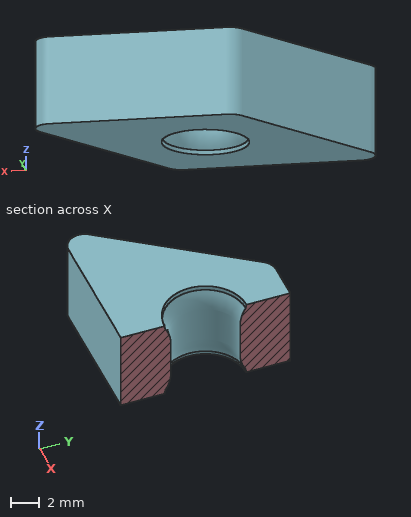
import cadquery as cq
import math

length = 22.18
width = 12.7
thickness = 6.35
acute_angle = math.radians(55)

hole_diameter = 5.17
mouth_diameter = 6.1
rim_diameter = 6.0
rim_depth = 0.3
throat_depth = 1.75

side = width / math.sin(acute_angle)
slant = width / math.tan(acute_angle)

sharp_length = side + slant
tip_loss_per_radius = 1 / math.tan(acute_angle / 2) - 1
corner_radius = (sharp_length - length) / 2 / tip_loss_per_radius


def make_body():
    corners = [
        (-sharp_length / 2, -width / 2),
        (sharp_length / 2 - slant, -width / 2),
        (sharp_length / 2, width / 2),
        (-sharp_length / 2 + slant, width / 2),
    ]
    body = cq.Workplane("XY").polyline(corners).close().extrude(thickness / 2, both=True)
    return body.edges("|Z").fillet(corner_radius)


def make_hole():
    """Revolved cutter: tapered rims, convex rounded transitions and a straight throat."""
    mouth_radius = mouth_diameter / 2
    rim_radius = rim_diameter / 2
    throat_radius = hole_diameter / 2
    top = thickness / 2
    rim = top - rim_depth
    throat = top - throat_depth

    step = rim_radius - throat_radius
    drop = rim - throat
    arc_radius = (step**2 + drop**2) / (2 * step)
    half_sweep = math.asin(drop / arc_radius) / 2
    middle_radius = throat_radius + arc_radius * (1 - math.cos(half_sweep))
    middle_height = throat + arc_radius * math.sin(half_sweep)

    return (
        cq.Workplane("XZ")
        .moveTo(0, -top)
        .lineTo(mouth_radius, -top)
        .lineTo(rim_radius, -rim)
        .threePointArc((middle_radius, -middle_height), (throat_radius, -throat))
        .lineTo(throat_radius, throat)
        .threePointArc((middle_radius, middle_height), (rim_radius, rim))
        .lineTo(mouth_radius, top)
        .lineTo(0, top)
        .close()
        .revolve(360, (0, 0, 0), (0, 1, 0))
    )


result = make_body().cut(make_hole())